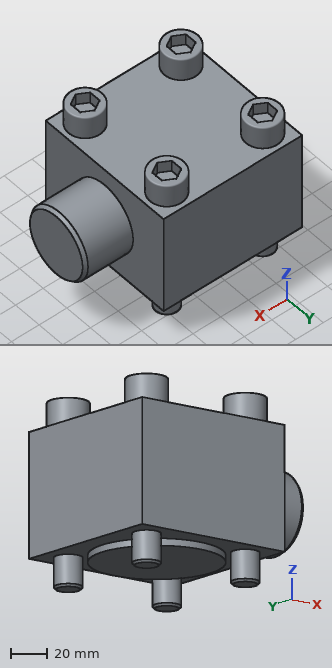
import cadquery as cq
import math

block_side = 100.0
block_height = 72.0

port_diameter = 48.3
port_length = 35.0
port_chamfer_length = 2.4
port_chamfer_depth = 1.8

spigot_diameter = 76.0
spigot_height = 4.0

bolt_spacing = 69.3
head_diameter = 24.0
head_height = 16.0
head_edge_radius = 1.0
shank_diameter = 16.0
shank_length = 18.0
shank_chamfer = 1.4
socket_across_flats = 14.0
socket_depth = 8.0


def make_bolt():
    """Bolt on the Z axis: shank end below the block, head above it."""
    shank = (
        cq.Workplane("XY")
        .workplane(offset=-shank_length)
        .circle(shank_diameter / 2)
        .extrude(shank_length + block_height)
        .faces("<Z")
        .chamfer(shank_chamfer)
    )
    head = (
        cq.Workplane("XY")
        .workplane(offset=block_height)
        .circle(head_diameter / 2)
        .extrude(head_height)
        .faces(">Z")
        .edges()
        .fillet(head_edge_radius)
    )
    socket_across_corners = socket_across_flats / math.cos(math.pi / 6)
    socket = (
        cq.Workplane("XY")
        .workplane(offset=block_height + head_height - socket_depth)
        .transformed(rotate=(0, 0, 90))
        .polygon(6, socket_across_corners)
        .extrude(socket_depth)
    )
    return shank.union(head.cut(socket))


def make_port():
    """Round port along +X with a chamfered outer end."""
    port = (
        cq.Workplane("YZ", origin=(block_side / 2, 0, block_height / 2))
        .circle(port_diameter / 2)
        .extrude(port_length)
    )
    return port.faces(">X").edges().chamfer(port_chamfer_length, port_chamfer_depth)


block = cq.Workplane("XY").box(block_side, block_side, block_height, centered=(True, True, False))
spigot = cq.Workplane("XY").circle(spigot_diameter / 2).extrude(-spigot_height)
result = block.union(spigot).union(make_port())

for x_side in (-1, 1):
    for y_side in (-1, 1):
        position = (x_side * bolt_spacing / 2, y_side * bolt_spacing / 2, 0)
        result = result.union(make_bolt().translate(position))